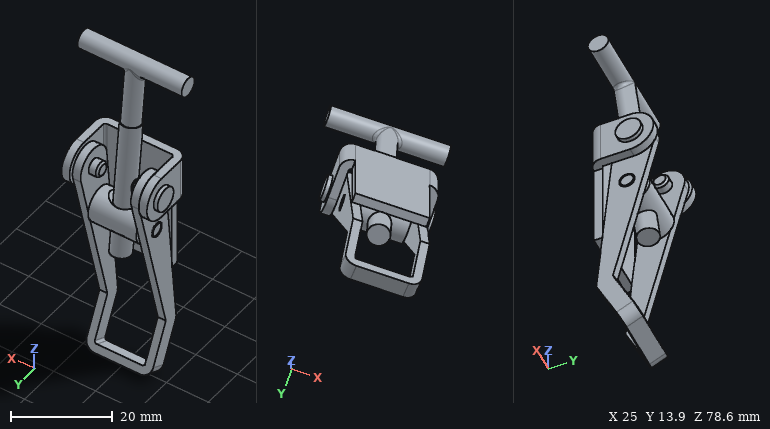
import cadquery as cq
import math


overall_height = 78.6
sheet = 2.0
bend_inside = 0.55
bend_outside = bend_inside + sheet

lever_width = 15.95
lever_inside = lever_width - 2 * sheet
lever_eye_radius = 4.5
bend_front_y = -8.3
bend_front_z = -38.8
kick_angle = math.radians(25)
kick_depth = 4.0

side_gap = 0.3
bracket_width = lever_width + 2 * (side_gap + sheet)
ear_radius = 5.0
front_face_y = -8.95
plate_height = 30.0
plate_width = bracket_width - 2 * bend_outside

rivet_head_diameter = 5.5
rivet_head_height = 0.95
rivet_shank_diameter = 3.5
rivet_tip_x = 3.85
rivet_tip_chamfer = 0.5

barrel_y = -1.7
barrel_z = -10.9
barrel_diameter = 8.0
barrel_gap = 0.2
journal_diameter = 3.3
journal_chamfer = 0.2
countersink_diameter = 7.1

screw_tilt = 6.4
thread_diameter = 4.7
neck_diameter = 4.4
thread_below = 9.2
thread_above = 22.8
handle_above = 37.2
handle_diameter = 4.5
handle_length = 25.0
handle_weld = 0.8

handle_top_z = barrel_z + handle_above * math.cos(math.radians(screw_tilt)) + handle_diameter / 2
kick_length = (bend_front_z - handle_top_z + overall_height) / math.cos(kick_angle)

clear = 2 * overall_height


def x_cylinder(diameter, x_start, x_end, y=0.0, z=0.0):
    """Cylinder along X between two X positions."""
    return (
        cq.Workplane("YZ", origin=(x_start, 0, 0))
        .center(y, z)
        .circle(diameter / 2)
        .extrude(x_end - x_start)
    )


def along_screw(solid):
    """Move a solid built around +Z at the origin onto the screw axis, origin on the barrel axis."""
    return solid.rotate((0, 0, 0), (1, 0, 0), screw_tilt).translate((0, barrel_y, barrel_z))


def eye_tangent(y, z, side):
    """Point where the line from (y, z) touches the lever eye, on its +Y (1) or -Y (-1) side."""
    spread = math.acos(lever_eye_radius / math.hypot(y, z))
    angle = math.atan2(z, y) + side * spread
    return lever_eye_radius * math.cos(angle), lever_eye_radius * math.sin(angle)


def make_bracket():
    ear_depth = ear_radius - front_face_y
    ear_height = 2 * ear_radius

    channel = (
        cq.Workplane("XY")
        .box(bracket_width, ear_depth, ear_height)
        .edges("|Z and <Y")
        .fillet(bend_outside)
    )
    channel_gap = (
        cq.Workplane("XY")
        .box(bracket_width - 2 * sheet, ear_depth, ear_height)
        .edges("|Z and <Y")
        .fillet(bend_inside)
        .translate((0, sheet, 0))
    )
    channel = channel.cut(channel_gap).translate((0, front_face_y + ear_depth / 2, 0))

    ear_outline = (
        cq.Workplane("YZ", origin=(-bracket_width / 2, 0, 0))
        .moveTo(front_face_y, -ear_radius)
        .lineTo(0, -ear_radius)
        .threePointArc((ear_radius, 0), (0, ear_radius))
        .lineTo(front_face_y, ear_radius)
        .close()
        .extrude(bracket_width)
    )
    channel = channel.intersect(ear_outline)

    plate = (
        cq.Workplane("XY")
        .box(plate_width, sheet, plate_height)
        .translate((0, front_face_y + sheet / 2, ear_radius - plate_height / 2))
    )
    rivet_bore = x_cylinder(rivet_shank_diameter, -clear / 2, clear / 2)
    return channel.union(plate).cut(rivet_bore)


def make_lever():
    back_y, back_z = math.cos(kick_angle), math.sin(kick_angle)
    down_y, down_z = math.sin(kick_angle), -math.cos(kick_angle)
    bend_front = (bend_front_y, bend_front_z)
    bend_back = (bend_front_y + kick_depth * back_y, bend_front_z + kick_depth * back_z)
    toe_front = (bend_front_y + kick_length * down_y, bend_front_z + kick_length * down_z)
    toe_back = (toe_front[0] + kick_depth * back_y, toe_front[1] + kick_depth * back_z)

    outline = (
        cq.Workplane("YZ", origin=(-lever_width / 2, 0, 0))
        .moveTo(*eye_tangent(*bend_back, 1))
        .threePointArc((0, lever_eye_radius), eye_tangent(*bend_front, -1))
        .lineTo(*bend_front)
        .lineTo(*toe_front)
        .lineTo(*toe_back)
        .lineTo(*bend_back)
        .close()
        .extrude(lever_width)
    )

    leg_plane = cq.Plane(origin=(0, *toe_front), xDir=(1, 0, 0), normal=(0, back_y, back_z))

    def tongue(width, base, radius):
        """Long upright slab with a rounded lower end, its base this far above the toe."""
        return (
            cq.Workplane(leg_plane)
            .center(0, -base - clear / 2)
            .rect(width, clear)
            .extrude(clear / 2, both=True)
            .edges(cq.selectors.ParallelDirSelector(cq.Vector(0, back_y, back_z)))
            .fillet(radius)
        )

    fold = tongue(lever_width, 0, bend_outside).cut(tongue(lever_inside, sheet, bend_inside))
    rivet_bore = x_cylinder(rivet_shank_diameter, -clear / 2, clear / 2)
    journal_bore = x_cylinder(journal_diameter, -clear / 2, clear / 2, barrel_y, barrel_z)
    return outline.intersect(fold).cut(rivet_bore).cut(journal_bore)


def make_rivet(side):
    """Rivet through one ear and one arm; side is -1 for -X and 1 for +X."""
    ear_x = bracket_width / 2
    shank = x_cylinder(rivet_shank_diameter, rivet_tip_x, ear_x).faces("<X").chamfer(rivet_tip_chamfer)
    head = x_cylinder(rivet_head_diameter, ear_x, ear_x + rivet_head_height)
    rivet = shank.union(head)
    if side < 0:
        rivet = rivet.mirror("YZ")
    return rivet


def make_barrel():
    half_length = lever_inside / 2 - barrel_gap
    body = x_cylinder(barrel_diameter, -half_length, half_length, barrel_y, barrel_z)
    journals = x_cylinder(journal_diameter, -lever_width / 2, lever_width / 2, barrel_y, barrel_z)
    journals = journals.faces("<X or >X").chamfer(journal_chamfer)
    bore = cq.Workplane("XY").circle(thread_diameter / 2).extrude(clear / 2, both=True)
    sink_radius = countersink_diameter / 2
    sink_apex = barrel_diameter / 2 - sink_radius
    countersink = cq.Workplane(
        cq.Solid.makeCone(0, barrel_diameter, barrel_diameter, cq.Vector(0, 0, sink_apex))
    )
    return body.union(journals).cut(along_screw(bore)).cut(along_screw(countersink))


def make_screw():
    thread = (
        cq.Workplane("XY", origin=(0, 0, -thread_below))
        .circle(thread_diameter / 2)
        .extrude(thread_below + thread_above)
    )
    neck = (
        cq.Workplane("XY", origin=(0, 0, thread_above))
        .circle(neck_diameter / 2)
        .extrude(handle_above - thread_above)
    )
    handle = x_cylinder(handle_diameter, -handle_length / 2, handle_length / 2, 0, handle_above)
    weld_zone = cq.selectors.BoxSelector(
        (-neck_diameter, -neck_diameter, handle_above - handle_diameter),
        (neck_diameter, neck_diameter, handle_above),
    )
    tee = neck.union(handle).edges(weld_zone).fillet(handle_weld)
    return along_screw(tee.union(thread))


bracket = make_bracket()
lever = make_lever()
rivets = [make_rivet(side) for side in (-1, 1)]
barrel = make_barrel()
screw = make_screw()

result = cq.Compound.makeCompound(
    [bracket.val(), lever.val(), barrel.val(), screw.val(), *[rivet.val() for rivet in rivets]]
)